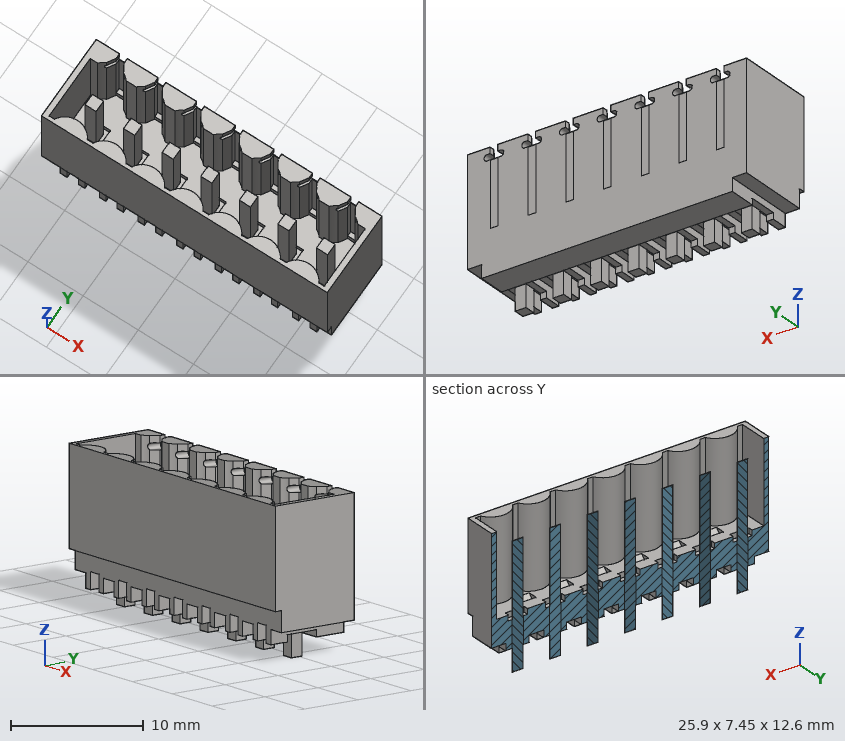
import cadquery as cq

LENGTH = 25.9
WIDTH = 7.45
HOUSING_HEIGHT = 9.9
BACK = WIDTH / 2
FRONT = -WIDTH / 2

PIN_COUNT = 7
PITCH = 3.5
PIN_SIZE = 1.0
PIN_Y = FRONT + 3.5
PIN_TOP = HOUSING_HEIGHT - 1.27
PIN_BOTTOM = -2.67
PIN_XS = [(i - (PIN_COUNT - 1) / 2) * PITCH for i in range(PIN_COUNT)]
GAP_XS = [(left + right) / 2 for left, right in zip(PIN_XS, PIN_XS[1:])]

FLOOR_Z = 2.38
END_WALL = 0.5
FRONT_WALL = 0.3
BACK_WALL = 1.55

LOBE_RADIUS = 1.7
FRONT_LOBE_REACH = 1.2
BACK_LOBE_DEPTH = 2.67

SLOT_WIDTH = 0.7
SLOT_LENGTH = 0.47
SLOT_WEB = 0.05
SLOT_STEP = 0.52
FLARE_WIDTH = 1.55
FLARE_DEPTH = 1.17

WINDOW_WIDTH = 1.81
WINDOW_HEIGHT = 0.55
WINDOW_SILL = HOUSING_HEIGHT - 1.11

SOCKET_SIZE = 1.75
SOCKET_DEPTH = 0.5
POCKET_WIDTH = 1.4
POCKET_FRONT = FRONT + 1.11
POCKET_LENGTH = 0.88
RAMP_LENGTH = 0.47
POCKET_DEPTH = 0.47

STEP_DEPTH = 0.57
STEP_HEIGHT = 1.7
FOOT_HEIGHT = 1.2
FOOT_INSET = 1.32
FOOT_LENGTH = LENGTH - 2 * FOOT_INSET
BACK_FOOT_WIDTH = 2.6
CHANNEL_WIDTH = 2.72
CHANNEL_HEIGHT = 0.57
GAP_NOTCH_WIDTH = 1.32
PIN_NOTCH_RISE = 0.2


def block(x, length, y_min, y_max, z_min, z_max):
    """Box centred on x, between the given Y and Z limits."""
    return (
        cq.Workplane("XY")
        .box(length, y_max - y_min, z_max - z_min, centered=(True, False, False))
        .translate((x, y_min, z_min))
    )


def lobe(x, y):
    """Upright cylinder from the cavity floor to the housing top."""
    return (
        cq.Workplane("XY", origin=(x, y, FLOOR_Z))
        .circle(LOBE_RADIUS)
        .extrude(HOUSING_HEIGHT - FLOOR_Z)
    )


def key_flare(x):
    """Tapered mouth of a key slot, narrowest where it meets the parallel slot."""
    slot_y = BACK - SLOT_LENGTH
    flare_y = BACK - FLARE_DEPTH
    return (
        cq.Workplane("XY", origin=(x, 0, FLOOR_Z))
        .polyline([
            (-SLOT_WIDTH / 2, slot_y),
            (SLOT_WIDTH / 2, slot_y),
            (FLARE_WIDTH / 2, flare_y),
            (FLARE_WIDTH / 2, BACK - BACK_WALL),
            (-FLARE_WIDTH / 2, BACK - BACK_WALL),
            (-FLARE_WIDTH / 2, flare_y),
        ])
        .close()
        .extrude(HOUSING_HEIGHT - FLOOR_Z)
    )


def key_slot(x):
    """Narrow slot, closed at the back by a thin web that stops at the window sill."""
    groove = block(
        x, SLOT_WIDTH, BACK - BACK_WALL, BACK - SLOT_WEB, FLOOR_Z + SLOT_STEP, HOUSING_HEIGHT
    )
    opening = block(x, SLOT_WIDTH, BACK - BACK_WALL, BACK, WINDOW_SILL, HOUSING_HEIGHT)
    return groove.union(opening)


def latch_window(x):
    """Round-ended window through the back wall."""
    return (
        cq.Workplane("XZ", origin=(x, BACK, WINDOW_SILL + WINDOW_HEIGHT / 2))
        .slot2D(WINDOW_WIDTH, WINDOW_HEIGHT)
        .extrude(BACK_WALL)
    )


def floor_pocket(x):
    """Floor recess that ramps down from its front edge to a flat bottom."""
    bottom = FLOOR_Z - POCKET_DEPTH
    return (
        cq.Workplane("YZ", origin=(x - POCKET_WIDTH / 2, 0, 0))
        .polyline([
            (POCKET_FRONT, FLOOR_Z),
            (POCKET_FRONT + RAMP_LENGTH, bottom),
            (POCKET_FRONT + POCKET_LENGTH, bottom),
            (POCKET_FRONT + POCKET_LENGTH, FLOOR_Z),
        ])
        .close()
        .extrude(POCKET_WIDTH)
    )


def make_cavity():
    cavity = block(
        0, LENGTH - 2 * END_WALL, FRONT + FRONT_WALL, BACK - BACK_WALL, FLOOR_Z, HOUSING_HEIGHT
    )
    for x in PIN_XS:
        cavity = cavity.cut(lobe(x, FRONT + FRONT_LOBE_REACH - LOBE_RADIUS))
        cavity = cavity.union(lobe(x, BACK - BACK_LOBE_DEPTH))
        cavity = cavity.union(key_flare(x))
    return cavity


def make_base():
    """Housing block with its front step, and the feet under it."""
    body = block(0, LENGTH, FRONT, BACK, 0, HOUSING_HEIGHT)
    body = body.cut(block(0, LENGTH, FRONT, FRONT + STEP_DEPTH, 0, STEP_HEIGHT))

    channel_back = BACK - BACK_FOOT_WIDTH
    feet = block(0, FOOT_LENGTH, FRONT + STEP_DEPTH, BACK, -FOOT_HEIGHT, 0)
    feet = feet.cut(block(
        0, FOOT_LENGTH, channel_back - CHANNEL_WIDTH, channel_back,
        -FOOT_HEIGHT, CHANNEL_HEIGHT - FOOT_HEIGHT,
    ))
    for x in GAP_XS:
        feet = feet.cut(block(x, GAP_NOTCH_WIDTH, FRONT, channel_back, -FOOT_HEIGHT, 0))
    return body.union(feet)


def make_housing():
    housing = make_base().cut(make_cavity())
    for x in PIN_XS:
        housing = housing.cut(key_slot(x)).cut(latch_window(x))
        housing = housing.cut(block(
            x, SOCKET_SIZE, PIN_Y - SOCKET_SIZE / 2, PIN_Y + SOCKET_SIZE / 2,
            FLOOR_Z - SOCKET_DEPTH, FLOOR_Z,
        ))
        housing = housing.cut(block(x, PIN_SIZE, FRONT, PIN_Y, -FOOT_HEIGHT, PIN_NOTCH_RISE))
        housing = housing.cut(make_pin(x))
    for x in GAP_XS:
        housing = housing.cut(floor_pocket(x))
    return housing


def make_pin(x):
    """Straight square contact."""
    return block(
        x, PIN_SIZE, PIN_Y - PIN_SIZE / 2, PIN_Y + PIN_SIZE / 2, PIN_BOTTOM, PIN_TOP
    )


housing = make_housing()
pins = [make_pin(x) for x in PIN_XS]

result = cq.Compound.makeCompound([housing.val(), *[pin.val() for pin in pins]])